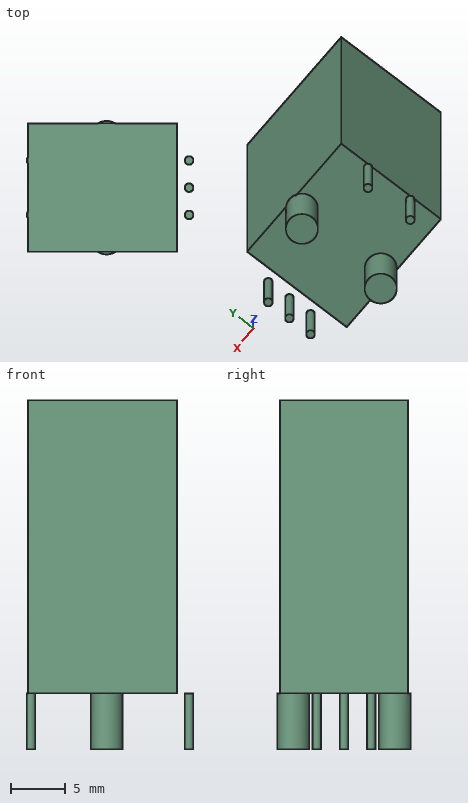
import cadquery as cq

total_height = 32.0
leg_length = 5.12
housing_length = 13.7
housing_width = 11.78
housing_height = total_height - leg_length

pin_diameter = 0.8
pin_pitch = 2.5
left_pin_x = -6.55
pin_row_spacing = 14.5
right_pin_x = left_pin_x + pin_row_spacing

peg_diameter = 2.95
peg_spacing = 9.3
peg_x = 0.4

pin_places = [(left_pin_x, side * pin_pitch) for side in (-1, 1)]
pin_places += [(right_pin_x, step * pin_pitch) for step in (-1, 0, 1)]

peg_places = [(peg_x, side * peg_spacing / 2) for side in (-1, 1)]


def make_housing():
    """Plain rectangular block standing on the leg plane."""
    return cq.Workplane("XY").rect(housing_length, housing_width).extrude(housing_height)


def make_leg(place, diameter):
    """Round leg hanging down from the underside plane of the housing."""
    return cq.Workplane("XY").center(*place).circle(diameter / 2).extrude(-leg_length)


housing = make_housing()
pins = [make_leg(place, pin_diameter) for place in pin_places]
pegs = [make_leg(place, peg_diameter) for place in peg_places]

result = cq.Compound.makeCompound([
    housing.val(),
    *[pin.val() for pin in pins],
    *[peg.val() for peg in pegs],
])